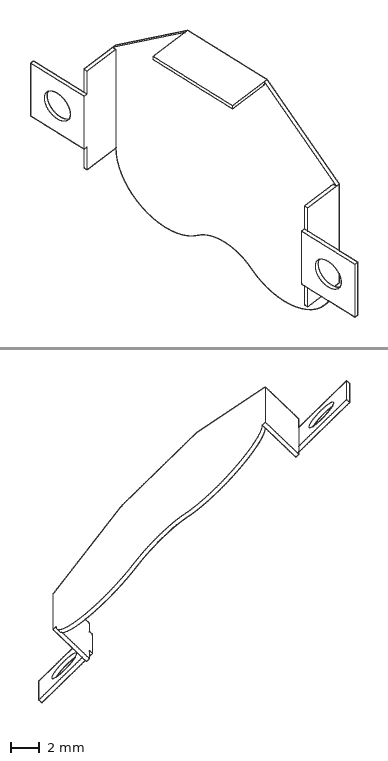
import cadquery as cq
import math

length = 30.5
depth = 3.6
thickness = 0.3
wall_span = 21.05
wall_height = 9.45
top_z = 10.43
bottom_z = -9.35
lip_width = 7.47
tab_height = 5.05
hole_diameter = 2.45
notch_top_z = -7.25

half_span = wall_span / 2
half_inner = half_span - thickness
half_wall_height = wall_height / 2
half_lip = lip_width / 2
tab_length = length / 2 - half_inner
tab_center_x = half_inner + tab_length / 2

lobe_z = -half_wall_height
lobe_radius = lobe_z - bottom_z
lobe_x = half_inner - lobe_radius

notch_drop = lobe_z - notch_top_z
notch_radius = (lobe_x**2 + notch_drop**2 - lobe_radius**2) / (2 * (lobe_radius - notch_drop))
notch_z = notch_top_z - notch_radius
joint_ratio = notch_radius / (notch_radius + lobe_radius)
joint_x = lobe_x * joint_ratio
joint_z = notch_z + (lobe_z - notch_z) * joint_ratio

lobe_mid_x = lobe_x + lobe_radius * math.cos(math.pi / 4)
lobe_mid_z = lobe_z - lobe_radius * math.sin(math.pi / 4)


def box(x_min, x_max, y_min, y_max, z_min, z_max):
    size = (x_max - x_min, y_max - y_min, z_max - z_min)
    return cq.Workplane("XY").box(*size, centered=False).translate((x_min, y_min, z_min))


def make_plate():
    outline = (
        cq.Workplane("XZ")
        .moveTo(-half_lip, top_z)
        .lineTo(half_lip, top_z)
        .lineTo(half_span, half_wall_height)
        .lineTo(half_span, lobe_z)
        .lineTo(half_inner, lobe_z)
        .threePointArc((lobe_mid_x, lobe_mid_z), (lobe_x, bottom_z))
        .threePointArc(lobe_point_before_joint(1), (joint_x, joint_z))
        .threePointArc((0, notch_top_z), (-joint_x, joint_z))
        .threePointArc(lobe_point_before_joint(-1), (-lobe_x, bottom_z))
        .threePointArc((-lobe_mid_x, lobe_mid_z), (-half_inner, lobe_z))
        .lineTo(-half_span, lobe_z)
        .lineTo(-half_span, half_wall_height)
        .close()
    )
    return outline.extrude(thickness)


def lobe_point_before_joint(side):
    """Point midway along the lobe between its lowest point and the notch."""
    half_angle = math.atan2(lobe_x - joint_x, lobe_z - joint_z) / 2
    x = lobe_x - lobe_radius * math.sin(half_angle)
    z = lobe_z - lobe_radius * math.cos(half_angle)
    return side * x, z


def make_lip():
    return box(-half_lip, half_lip, -depth, 0, top_z - thickness, top_z)


def make_right_bracket():
    """Side wall with its outward-bent, drilled mounting tab."""
    wall = box(half_inner, half_span, thickness - depth, 0, -half_wall_height, half_wall_height)
    tab = (
        cq.Workplane("XZ", origin=(tab_center_x, thickness - depth, 0))
        .rect(tab_length, tab_height)
        .circle(hole_diameter / 2)
        .extrude(thickness)
    )
    return wall.union(tab)


right_bracket = make_right_bracket()
left_bracket = right_bracket.mirror("YZ")
result = make_plate().union(make_lip()).union(right_bracket).union(left_bracket)